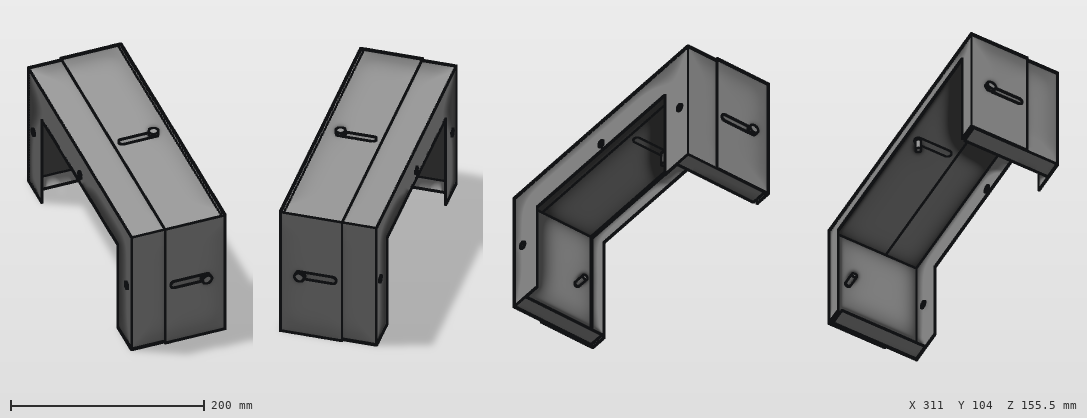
import cadquery as cq
import math


sheet = 1.0
total_depth = 104.0

rear_width = 303.0
rear_height = 151.5
rear_depth = 67.0
rear_rim = 20.0

clearance = 0.5
front_width = rear_width - 2 * (sheet + clearance)
front_height = rear_height - sheet - clearance
front_depth = 100.0
front_lift = clearance
front_rim = 40.0
foot_width = 20.0

plate_hole_diameter = 8.0
leg_hole_inset = 15.0
leg_hole_z = front_lift + front_height / 2
crossbar_hole_drop = 30.0

bolt_diameter = 6.0
bolt_length = 16.0
head_across_flats = 10.0
head_height = 4.0
crown_diameter = head_across_flats
crown_angle = math.radians(30)
bolt_to_back = 22.0
bolt_y = total_depth - bolt_to_back
side_bolt_z = front_height / 2
slot_width = 8.5
slot_travel = 34.5

toward_front = (0, -1, 0)
bolt_seats = [
    cq.Plane((-rear_width / 2, bolt_y, side_bolt_z), toward_front, (-1, 0, 0)),
    cq.Plane((rear_width / 2, bolt_y, side_bolt_z), toward_front, (1, 0, 0)),
    cq.Plane((0, bolt_y, rear_height), toward_front, (0, 0, 1)),
]


def standing_box(width, height, front_y, depth, bottom_z=0.0):
    """Box centred in X, running back from front_y and up from bottom_z."""
    box = cq.Workplane("XY").box(width, depth, height, centered=(True, False, False))
    return box.translate((0, front_y, bottom_z))


def make_rear_cover():
    """Outer hood: top and side walls, with an inward frame at the back."""
    front_edge = total_depth - rear_depth
    cover = standing_box(rear_width, rear_height, front_edge, rear_depth)
    cavity = standing_box(rear_width - 2 * sheet, rear_height - sheet, front_edge, rear_depth - sheet)
    opening = standing_box(
        rear_width - 2 * rear_rim, rear_height - rear_rim, front_edge, rear_depth
    )
    cover = cover.cut(cavity).cut(opening)
    for seat in bolt_seats:
        slot = (
            cq.Workplane(seat)
            .center(slot_travel / 2, 0)
            .slot2D(slot_travel + slot_width, slot_width)
            .extrude(-sheet)
        )
        cover = cover.cut(slot)
    return cover


def make_front_cover():
    """Inner hood: front plate, top and side walls, and a folded foot under each side."""
    cover = standing_box(front_width, front_height, 0, front_depth, front_lift)
    inner_depth = front_depth - sheet
    cavity = standing_box(
        front_width - 2 * sheet, front_height - 2 * sheet, sheet, inner_depth, front_lift + sheet
    )
    floor_gap = standing_box(
        front_width - 2 * foot_width, sheet, sheet, inner_depth, front_lift
    )
    plate_opening = standing_box(
        front_width - 2 * front_rim, front_height - front_rim, 0, sheet, front_lift
    )
    cover = cover.cut(cavity).cut(floor_gap).cut(plate_opening)

    leg_hole_x = front_width / 2 - leg_hole_inset
    plate_holes = (
        cq.Workplane("XZ")
        .pushPoints([
            (-leg_hole_x, leg_hole_z),
            (leg_hole_x, leg_hole_z),
            (0, front_lift + front_height - crossbar_hole_drop),
        ])
        .circle(plate_hole_diameter / 2)
        .extrude(-sheet)
    )
    cover = cover.cut(plate_holes)
    for seat in bolt_seats:
        cover = cover.cut(make_shank(seat))
    return cover


def make_shank(seat):
    return cq.Workplane(seat).circle(bolt_diameter / 2).extrude(-bolt_length)


def make_bolt(seat):
    """Hexagon-head bolt with two corners of its head in line with the slot."""
    head = (
        cq.Workplane(seat)
        .transformed(rotate=(0, 0, 30))
        .polygon(6, head_across_flats, circumscribed=True)
        .extrude(head_height)
    )
    crown = (
        cq.Workplane(seat)
        .circle(crown_diameter / 2 + head_height / math.tan(crown_angle))
        .workplane(offset=head_height)
        .circle(crown_diameter / 2)
        .loft()
    )
    return head.intersect(crown).union(make_shank(seat))


rear_cover = make_rear_cover()
front_cover = make_front_cover()
bolts = [make_bolt(seat) for seat in bolt_seats]

result = cq.Compound.makeCompound(
    [rear_cover.val(), front_cover.val(), *[bolt.val() for bolt in bolts]]
)